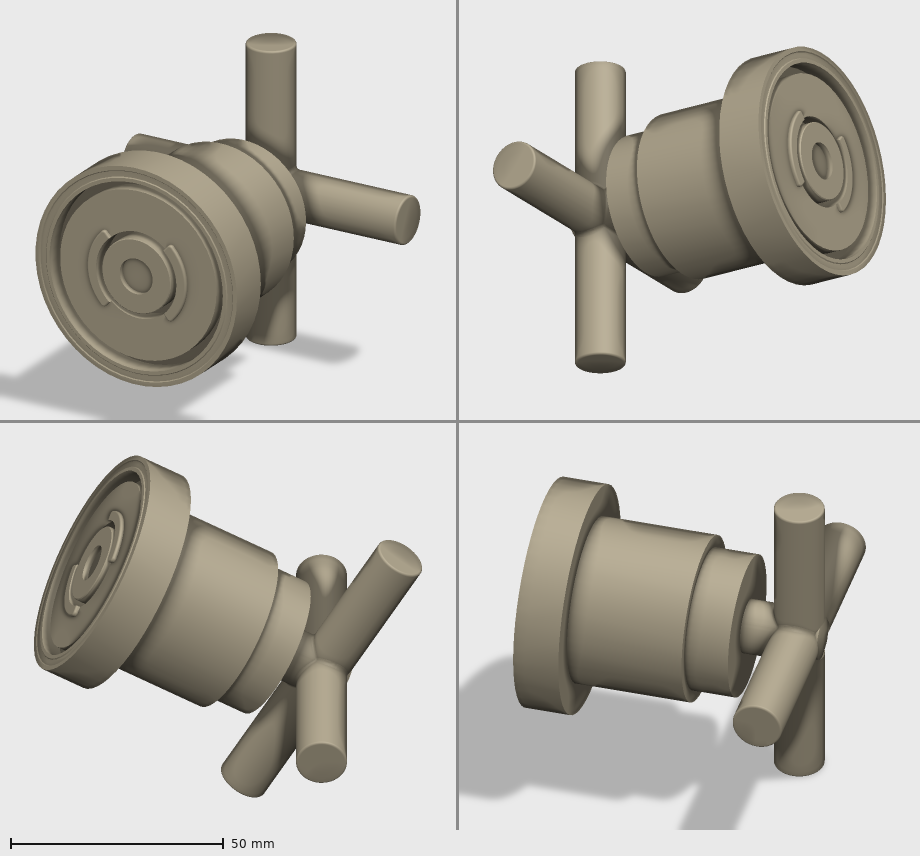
import cadquery as cq
import math

bar_length = 75.0
bar_diameter = 12.0
bar_end_fillet = 0.5
bar_joint_fillet = 1.0
stem_diameter = 13.0
stem_joint_fillet = 0.5

cap_radius = 5.1
cap_base_y = 3.0
cap_edge_y = 5.6

overall_depth = 68.7
flange_length = 11.0
sleeve_length = 28.0
collar_length = 10.5

flange_diameter = 55.1
sleeve_diameter = 40.0
collar_diameter = 34.2

rim_groove_outer_radius = 26.5
rim_groove_inner_radius = 24.6
rim_groove_depth = 0.2

trough_outer_radius = 23.7
boss_radius = 21.4
boss_recess = 1.0
trough_depth = 4.7

spindle_diameter = 18.9
spindle_length = 11.25
spindle_chamfer = 0.2
bore_diameter = 22.0
bore_depth = 5.25
center_hole_diameter = 9.0
center_hole_depth = 1.5

lug_outer_radius = 13.5
lug_half_angle = 48.0
lug_corner_fillet = 0.9
lug_edge_fillet = 0.45

cap_top_y = stem_diameter / 2
front_y = cap_top_y - overall_depth
sleeve_y = front_y + flange_length
collar_y = sleeve_y + sleeve_length
housing_back_y = collar_y + collar_length
boss_y = front_y + boss_recess
spindle_back_y = front_y + spindle_length

hub_reach = 7.5
hub_box = cq.selectors.BoxSelector((-hub_reach,) * 3, (hub_reach,) * 3)


def disc(diameter, start_y, end_y):
    """Cylinder about the Y axis between two Y positions."""
    return cq.Workplane("XZ", origin=(0, start_y, 0)).circle(diameter / 2).extrude(start_y - end_y)


def ring(outer_radius, inner_radius, start_y, end_y):
    """Ring about the Y axis between two Y positions."""
    return disc(2 * outer_radius, start_y, end_y).cut(disc(2 * inner_radius, start_y, end_y))


def turned(profile):
    """Solid of revolution about the Y axis from a closed profile in the XY plane."""
    return profile.revolve(360, (0, 0, 0), (0, 1, 0))


def polar(radius, degrees):
    """Point at a radius and an angle from +X."""
    angle = math.radians(degrees)
    return (radius * math.cos(angle), radius * math.sin(angle))




def bar(plane):
    """Handle bar centred on the origin, with rounded end edges."""
    rod = cq.Workplane(plane).circle(bar_diameter / 2).extrude(bar_length / 2, both=True)
    return rod.edges("%CIRCLE").fillet(bar_end_fillet)


def hub_cap():
    """Cap with a shallow spherical dome, highest on the Y axis."""
    rise = cap_top_y - cap_edge_y
    dome_radius = (cap_radius**2 + rise**2) / (2 * rise)
    middle_x = cap_radius / 2
    middle_y = cap_top_y - dome_radius + math.sqrt(dome_radius**2 - middle_x**2)
    profile = (
        cq.Workplane("XY")
        .moveTo(0, cap_base_y)
        .lineTo(cap_radius, cap_base_y)
        .lineTo(cap_radius, cap_edge_y)
        .threePointArc((middle_x, middle_y), (0, cap_top_y))
        .close()
    )
    return turned(profile)


def spindle():
    """Thick inner end of the stem, with a shallow hole in its front face."""
    body = disc(spindle_diameter, front_y, spindle_back_y).faces("<Y").chamfer(spindle_chamfer)
    return body.cut(disc(center_hole_diameter, front_y, front_y + center_hole_depth))


def make_handle():
    cross = bar("YZ").union(bar("XY")).union(disc(stem_diameter, spindle_back_y, 0))
    cross = cross.edges(hub_box).edges("%ELLIPSE").fillet(bar_joint_fillet)
    cross = cross.edges(hub_box).edges("%BSPLINE").fillet(stem_joint_fillet)
    cap_seat = disc(2 * cap_radius, cap_base_y, bar_diameter)
    return cross.cut(cap_seat).union(hub_cap()).union(spindle())




def rim_groove():
    """Ring groove whose walls slope at 45 degrees and narrow toward its floor."""
    floor_y = front_y + rim_groove_depth
    profile = (
        cq.Workplane("XY")
        .moveTo(rim_groove_inner_radius, front_y)
        .lineTo(rim_groove_outer_radius, front_y)
        .lineTo(rim_groove_outer_radius - rim_groove_depth, floor_y)
        .lineTo(rim_groove_inner_radius + rim_groove_depth, floor_y)
        .close()
    )
    return turned(profile)


def lug(middle_angle):
    """Arc lug on the boss; its inner side reaches into the space that the bore later clears."""
    start = middle_angle - lug_half_angle
    end = middle_angle + lug_half_angle
    inner_radius = spindle_diameter / 2
    body = (
        cq.Workplane("XZ", origin=(0, boss_y, 0))
        .moveTo(*polar(inner_radius, start))
        .lineTo(*polar(lug_outer_radius, start))
        .threePointArc(polar(lug_outer_radius, middle_angle), polar(lug_outer_radius, end))
        .lineTo(*polar(inner_radius, end))
        .threePointArc(polar(inner_radius, middle_angle), polar(inner_radius, start))
        .close()
        .extrude(boss_recess)
    )
    return body.edges("|Y").fillet(lug_corner_fillet).faces("<Y").edges().fillet(lug_edge_fillet)


def make_housing():
    housing = (
        disc(flange_diameter, front_y, sleeve_y)
        .union(disc(sleeve_diameter, sleeve_y, collar_y))
        .union(disc(collar_diameter, collar_y, housing_back_y))
    )
    housing = housing.cut(rim_groove())
    housing = housing.cut(disc(2 * trough_outer_radius, front_y, boss_y))
    housing = housing.cut(ring(trough_outer_radius, boss_radius, boss_y, front_y + trough_depth))
    for middle_angle in (0, 180):
        housing = housing.union(lug(middle_angle))
    housing = housing.cut(disc(bore_diameter, front_y, front_y + bore_depth))
    housing = housing.cut(disc(spindle_diameter, front_y, spindle_back_y))
    return housing.cut(disc(stem_diameter, spindle_back_y, housing_back_y))


handle = make_handle()
housing = make_housing()
result = cq.Compound.makeCompound([handle.val(), housing.val()])